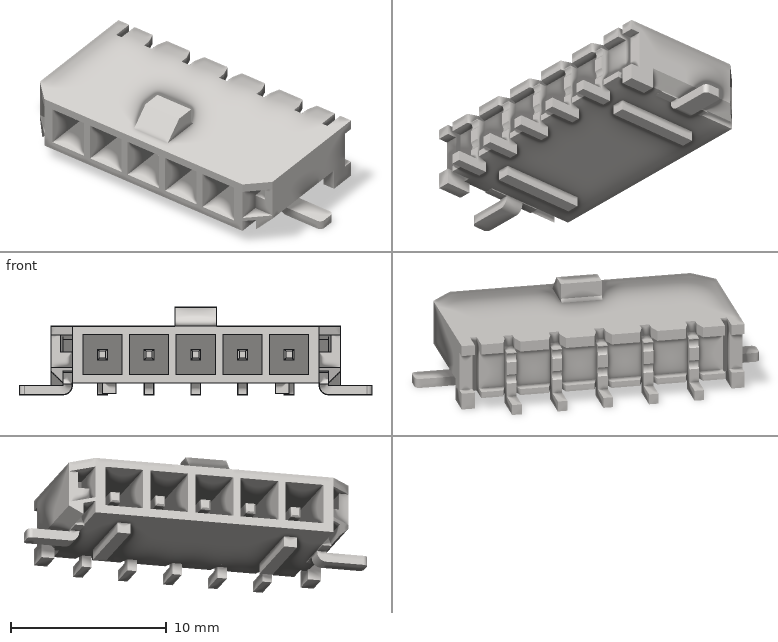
import cadquery as cq


contact_count = 5
contact_row = 12.0
contact_pitch = contact_row / (contact_count - 1)
contact_width = 0.63
pin_height = 0.68
pin_z = 2.58
pin_tip_y = 2.04
tip_chamfer = 0.11
leg_front_y = 8.58
leg_rear_y = 9.78
leg_top_z = 3.67
leg_foot_front_y = 9.05
tail_end_y = 11.35
tail_thickness = 0.68
scallop_radius = 0.8 / 2
scallop_depth = 0.14
scallop_heights = (3.33, 1.88)

body_width = 18.62
body_depth = 9.85
body_bottom_z = 0.75
body_top_z = 4.42
half_width = body_width / 2
body_height = body_top_z - body_bottom_z
corner_cut = 1.38
corner_wall_x = half_width - corner_cut
corner_pocket_floor_z = 1.77
corner_pocket_roof_z = 3.83
bevel_width = 0.8
bevel_top_z = 1.52

cavity_width = 2.51
cavity_height = 2.58
cavity_depth = 6.8

rear_recess_y = 9.17
rear_recess_bottom_z = 1.15
rear_recess_top_z = 3.74
funnel_width = 1.13
funnel_depth = 0.72
relief_inner_x = 8.02
relief_outer_x = 8.45
relief_front_y = 8.45

standoff_z = 0.07
foot_front_y = 8.02
rib_center_x = 5.55
rib_width = 0.85
rib_front_y = 1.7
rib_rear_y = 7.68

latch_width = 2.7
latch_top_z = 5.65
latch_ramp_front_y = 0.82
latch_ramp_rear_y = 2.04
latch_rear_y = 3.33
latch_root = 0.2

nail_thickness = 0.61
nail_end_x = 11.32
nail_front_y = 3.92
nail_rear_y = 5.25
nail_end_radius = 0.32
nail_top_radius = 0.27
nail_width = nail_rear_y - nail_front_y
nail_outer_x = corner_wall_x + nail_thickness
plate_front_y = 2.65
plate_rear_y = 6.6
plate_bottom_z = 0.68
plate_shoulder = 0.75
plate_neck_front_y = plate_front_y + plate_shoulder
plate_neck_rear_y = plate_rear_y - plate_shoulder
plate_shoulder_z = plate_bottom_z + plate_shoulder
nail_window_width = 0.77
nail_window_bottom_z = 2.76


def block(x0, x1, y0, y1, z0, z1):
    """Box between two opposite corners."""
    return cq.Workplane("XY").box(x1 - x0, y1 - y0, z1 - z0, centered=False).translate((x0, y0, z0))


def side_prism(points, x0, x1):
    """Outline of (y, z) points extruded along X from x0 to x1."""
    return cq.Workplane("YZ").polyline(points).close().extrude(x1 - x0).translate((x0, 0, 0))


def both_sides(shape):
    """The shape together with its mirror image across X = 0."""
    return shape.union(shape.mirror("YZ"))


def contact_positions():
    return [i * contact_pitch - contact_row / 2 for i in range(contact_count)]


def make_contact(x):
    """Stamped contact: square pin, tall barbed leg and solder tail."""
    profile = (
        cq.Workplane("YZ")
        .moveTo(leg_foot_front_y, 0)
        .lineTo(tail_end_y, 0)
        .lineTo(tail_end_y, tail_thickness)
        .lineTo(leg_rear_y, tail_thickness)
        .lineTo(leg_rear_y, leg_top_z)
        .lineTo(leg_front_y, leg_top_z)
        .lineTo(leg_front_y, body_bottom_z)
        .lineTo(leg_foot_front_y, body_bottom_z)
        .close()
    )
    contact = profile.extrude(contact_width / 2, both=True)
    for z in scallop_heights:
        scallop_y = leg_rear_y + scallop_radius - scallop_depth
        scallop = cq.Workplane("YZ").center(scallop_y, z).circle(scallop_radius)
        contact = contact.cut(scallop.extrude(contact_width / 2, both=True))
    shaft_y = pin_tip_y + tip_chamfer
    shaft = block(-contact_width / 2, contact_width / 2, shaft_y, leg_front_y,
                  pin_z - pin_height / 2, pin_z + pin_height / 2)
    tip = (
        cq.Workplane("XZ", origin=(0, shaft_y, pin_z))
        .rect(contact_width, pin_height)
        .workplane(offset=tip_chamfer)
        .rect(contact_width - 2 * tip_chamfer, pin_height - 2 * tip_chamfer)
        .loft(ruled=True)
    )
    return contact.union(shaft).union(tip).translate((x, 0, 0))


def make_right_nail():
    """Solder nail at +X: narrow flat foot bent up into a wide plate inside the housing."""
    foot = (
        cq.Workplane("XZ", origin=(0, nail_rear_y, 0))
        .moveTo(nail_outer_x, 0)
        .lineTo(nail_end_x, 0)
        .lineTo(nail_end_x, nail_thickness)
        .lineTo(nail_outer_x, nail_thickness)
        .lineTo(nail_outer_x, plate_shoulder_z)
        .lineTo(corner_wall_x, plate_shoulder_z)
        .lineTo(corner_wall_x, nail_thickness)
        .radiusArc((nail_outer_x, 0), -nail_thickness)
        .close()
        .extrude(nail_width)
        .edges("|Z and >X")
        .fillet(nail_end_radius)
    )
    plate_outline = [
        (plate_front_y, plate_bottom_z),
        (plate_neck_front_y, plate_shoulder_z),
        (plate_neck_front_y, corner_pocket_roof_z),
        (plate_neck_rear_y, corner_pocket_roof_z),
        (plate_neck_rear_y, plate_shoulder_z),
        (plate_rear_y, plate_bottom_z),
    ]
    plate = side_prism(plate_outline, corner_wall_x, nail_outer_x)
    plate = plate.edges("|X and >Z").fillet(nail_top_radius)
    return foot.union(plate)


def housing_shell():
    """Block with the lower side edges bevelled in front of the rear feet."""
    shell = block(-half_width, half_width, 0, body_depth, body_bottom_z, body_top_z)
    bevel = (
        cq.Workplane("XZ", origin=(0, foot_front_y, 0))
        .moveTo(half_width - bevel_width, body_bottom_z)
        .lineTo(half_width, body_bottom_z)
        .lineTo(half_width, bevel_top_z)
        .close()
        .extrude(foot_front_y)
    )
    return shell.cut(both_sides(bevel))


def standoffs():
    """Rear feet at the side walls and two long ribs under the floor."""
    foot = block(relief_outer_x, half_width, foot_front_y, body_depth, standoff_z, body_bottom_z)
    rib = block(rib_center_x - rib_width / 2, rib_center_x + rib_width / 2,
                rib_front_y, rib_rear_y, standoff_z, body_bottom_z)
    return both_sides(foot.union(rib))


def latch():
    """Ramp for the mating latch, with a small sloped root at its steep rear side."""
    outline = [
        (latch_ramp_front_y, body_top_z),
        (latch_ramp_rear_y, latch_top_z),
        (latch_rear_y, latch_top_z),
        (latch_rear_y, body_top_z + latch_root),
        (latch_rear_y + latch_root, body_top_z),
    ]
    return side_prism(outline, -latch_width / 2, latch_width / 2)


def front_corners():
    """Cut-off vertical front corners, each with a square pocket behind the cut."""
    corner = (
        cq.Workplane("XY", origin=(0, 0, body_bottom_z))
        .polyline([(corner_wall_x, 0), (half_width, 0), (half_width, corner_cut)])
        .close()
        .extrude(body_height)
    )
    pocket = block(corner_wall_x, half_width, 0, corner_cut, corner_pocket_floor_z, corner_pocket_roof_z)
    return both_sides(corner.union(pocket))


def nail_openings():
    """Windows and floor grooves that lead from the front corners back to the nail plates."""
    window = block(corner_wall_x, corner_wall_x + nail_window_width, corner_cut, plate_neck_front_y,
                   nail_window_bottom_z, corner_pocket_roof_z)
    groove = block(corner_wall_x, nail_outer_x, 0, plate_neck_front_y, body_bottom_z, bevel_top_z)
    return both_sides(window.union(groove))


def mating_cavity(x):
    return block(x - cavity_width / 2, x + cavity_width / 2, 0, cavity_depth,
                 pin_z - cavity_height / 2, pin_z + cavity_height / 2)


def contact_slot(x):
    """Full-height slot for a contact leg, with a V-shaped funnel at the rear edge."""
    slot = block(x - contact_width / 2, x + contact_width / 2, leg_front_y, body_depth,
                 body_bottom_z, body_top_z)
    funnel = (
        cq.Workplane("XY", origin=(x, 0, body_bottom_z))
        .polyline([
            (-funnel_width / 2, body_depth),
            (funnel_width / 2, body_depth),
            (contact_width / 2, body_depth - funnel_depth),
            (-contact_width / 2, body_depth - funnel_depth),
        ])
        .close()
        .extrude(body_height)
    )
    return slot.union(funnel)


def rear_cuts():
    """Recess along the rear face and the slits that part the side walls from it."""
    recess = block(-half_width, half_width, rear_recess_y, body_depth,
                   rear_recess_bottom_z, rear_recess_top_z)
    relief = block(relief_inner_x, relief_outer_x, relief_front_y, body_depth, standoff_z, body_top_z)
    return recess.union(both_sides(relief))


def make_housing(contacts, nails):
    """Housing with a matching opening for every contact and nail."""
    housing = housing_shell().union(standoffs()).union(latch())
    housing = housing.cut(front_corners()).cut(nail_openings()).cut(rear_cuts())
    for x in contact_positions():
        housing = housing.cut(mating_cavity(x)).cut(contact_slot(x))
    for metal_part in contacts + nails:
        housing = housing.cut(metal_part)
    return housing


contacts = [make_contact(x) for x in contact_positions()]
right_nail = make_right_nail()
nails = [right_nail, right_nail.mirror("YZ")]
housing = make_housing(contacts, nails)

bodies = [housing, *contacts, *nails]
result = cq.Compound.makeCompound([body.solids().val() for body in bodies])